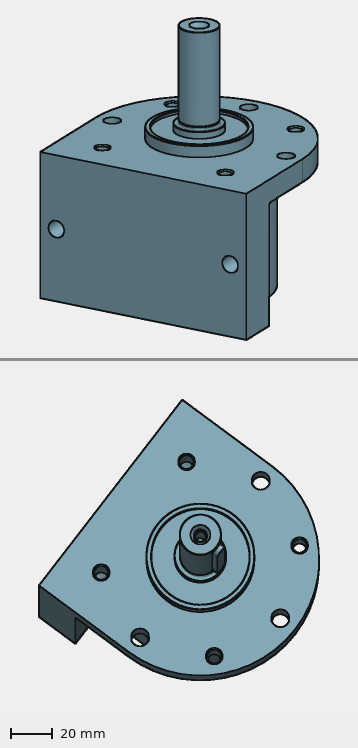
import cadquery as cq
import math


housing_width = 114.0
flange_radius = housing_width / 2
front_y = -54.0
housing_height = 75.0
flange_thickness = 12.0
slab_thickness = 22.0
drum_radius = 37.5
slab_corner_fillet = 1.5

hub_diameter = 52.0
hub_height = 6.0
hub_edge_chamfer = 0.3
recess_diameter = 47.0
recess_depth = 1.6
recess_mouth_chamfer = 0.3

bolt_circle_radius = 48.0
bolt_hole_diameter = 8.6
tapped_hole_diameter = 6.6
tapped_hole_mouth_diameter = 8.1
blind_hole_depth = 16.0
drill_tip_angle = 118.0
side_hole_height = 37.1

total_height = 133.0
collar_diameter = 25.0
collar_rise = 2.0
collar_chamfer = 0.3
shaft_diameter = 20.0
shaft_chamfer = 0.3
neck_diameter = 19.4
neck_height = 1.2
neck_taper_height = 0.7
neck_fillet = 0.5

centre_hole_diameter = 4.9
centre_hole_depth = 20.0
centre_relief_diameter = 6.4
centre_relief_depth = 5.0
centre_mouth_diameter = 9.6
centre_cone_angle = 60.0

key_width = 6.0
key_length = 45.0
key_end_gap = 2.0
key_top_y = 12.5
key_seat_y = 6.5

hub_top = housing_height + hub_height
recess_floor = hub_top - recess_depth
collar_top = hub_top + collar_rise
flange_underside = housing_height - flange_thickness
slab_back_y = front_y + slab_thickness
hole_margin = 1.3


def arched_prism(radius, flat_y, bottom, height):
    """Prism with a half-round back of the given radius and a straight front at flat_y."""
    return (
        cq.Workplane("XY", origin=(0, 0, bottom))
        .moveTo(-radius, flat_y)
        .lineTo(radius, flat_y)
        .lineTo(radius, 0)
        .threePointArc((0, radius), (-radius, 0))
        .close()
        .extrude(height)
    )


def cone_height(diameter, included_angle):
    """Height of a cone that tapers from the given diameter to a point."""
    return diameter / 2 / math.tan(math.radians(included_angle / 2))


def revolved(profile):
    """Solid of revolution about Z from (radius, z) points."""
    return cq.Workplane("XZ").polyline(profile).close().revolve(360, (0, 0), (0, 1))


def on_bolt_circle(angle):
    """Point on the bolt circle at an angle in degrees from +X."""
    turn = math.radians(angle)
    return (bolt_circle_radius * math.cos(turn), bolt_circle_radius * math.sin(turn))


def tapped_hole_cutter(depth):
    """Drilled hole below z = 0 with a 90 degree mouth and a conical bottom."""
    radius = tapped_hole_diameter / 2
    mouth_radius = tapped_hole_mouth_diameter / 2
    return revolved([
        (0, 0),
        (mouth_radius, 0),
        (radius, radius - mouth_radius),
        (radius, -depth),
        (0, -depth - cone_height(tapped_hole_diameter, drill_tip_angle)),
    ])


def make_housing():
    flange = arched_prism(flange_radius, front_y, flange_underside, flange_thickness)
    drum = arched_prism(drum_radius, slab_back_y, 0, housing_height)
    slab = cq.Workplane("XY").box(
        housing_width, slab_thickness, housing_height, centered=(True, False, False)
    ).translate((0, front_y, 0))
    inner_corner = cq.selectors.NearestToPointSelector((0, slab_back_y, flange_underside))
    body = flange.union(slab).edges(inner_corner).fillet(slab_corner_fillet).union(drum)

    hub = (
        cq.Workplane("XY", origin=(0, 0, housing_height))
        .circle(hub_diameter / 2)
        .extrude(hub_height)
        .faces(">Z")
        .chamfer(hub_edge_chamfer)
    )
    recess_radius = recess_diameter / 2
    recess = revolved([
        (0, recess_floor),
        (recess_radius, recess_floor),
        (recess_radius, hub_top - recess_mouth_chamfer),
        (recess_radius + recess_mouth_chamfer, hub_top),
        (0, hub_top),
    ])
    body = body.union(hub).cut(recess)

    flange_holes = (
        cq.Workplane("XY", origin=(0, 0, flange_underside - hole_margin))
        .pushPoints([on_bolt_circle(angle) for angle in (0, 90, 180)])
        .circle(bolt_hole_diameter / 2)
        .extrude(flange_thickness + 2 * hole_margin)
    )
    side_holes = (
        cq.Workplane("XZ", origin=(0, slab_back_y + hole_margin, side_hole_height))
        .pushPoints([(-bolt_circle_radius, 0), (bolt_circle_radius, 0)])
        .circle(bolt_hole_diameter / 2)
        .extrude(slab_thickness + 2 * hole_margin)
    )
    body = body.cut(flange_holes).cut(side_holes)

    for angle in (45, 135, 225, 315):
        x, y = on_bolt_circle(angle)
        body = body.cut(tapped_hole_cutter(blind_hole_depth).translate((x, y, housing_height)))
    return body


def make_centre_hole():
    hole_radius = centre_hole_diameter / 2
    relief_radius = centre_relief_diameter / 2
    mouth_depth = cone_height(centre_mouth_diameter - centre_relief_diameter, centre_cone_angle)
    return revolved([
        (0, total_height),
        (centre_mouth_diameter / 2, total_height),
        (relief_radius, total_height - mouth_depth),
        (relief_radius, total_height - centre_relief_depth),
        (hole_radius, total_height - centre_relief_depth),
        (hole_radius, total_height - centre_hole_depth),
        (0, total_height - centre_hole_depth - cone_height(centre_hole_diameter, drill_tip_angle)),
    ])


def make_key():
    key_centre_z = total_height - key_end_gap - key_length / 2
    return (
        cq.Workplane("XZ", origin=(0, key_top_y, key_centre_z))
        .slot2D(key_length, key_width, 90)
        .extrude(key_top_y - key_seat_y)
    )


def make_shaft():
    """Collar, neck, journal and key as one solid standing on the recess floor."""
    collar_radius = collar_diameter / 2
    shaft_radius = shaft_diameter / 2
    neck_radius = neck_diameter / 2
    neck_top = collar_top + neck_height
    body = revolved([
        (0, recess_floor),
        (collar_radius, recess_floor),
        (collar_radius, collar_top - collar_chamfer),
        (collar_radius - collar_chamfer, collar_top),
        (neck_radius, collar_top),
        (neck_radius, neck_top),
        (shaft_radius, neck_top + neck_taper_height),
        (shaft_radius, total_height - shaft_chamfer),
        (shaft_radius - shaft_chamfer, total_height),
        (0, total_height),
    ])
    neck_root = cq.selectors.BoxSelector(
        (-shaft_radius, -shaft_radius, collar_top - collar_chamfer / 2),
        (shaft_radius, shaft_radius, collar_top + neck_height / 2),
        boundingbox=True,
    )
    body = body.edges(neck_root).fillet(neck_fillet)
    return body.union(make_key()).cut(make_centre_hole())


housing = make_housing()
shaft = make_shaft()
result = cq.Compound.makeCompound([housing.val(), shaft.val()])